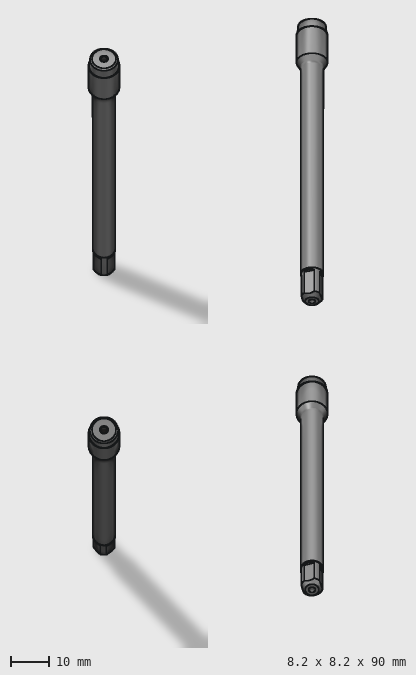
import cadquery as cq

total_length = 90.0

tang_diameter = 5.8
tang_across_flats = 5.0
tang_length = 8.9
flat_top = 8.1
tang_tip_diameter = 3.6
tip_taper_height = 1.3

shank_diameter = 6.0

head_diameter = 8.2
head_length = 13.9
collar_bottom_offset = 12.0
cap_length = 3.1
cap_base_diameter = 7.8
cap_rim_diameter = 7.4
cap_face_diameter = 6.3
cap_chamfer_height = 0.4
neck_fillet = 1.2

bore_diameter = 1.7
countersink_diameter = 2.2

tang_radius = tang_diameter / 2
tip_radius = tang_tip_diameter / 2
flat_distance = tang_across_flats / 2
flat_depth = tang_radius - flat_distance
head_bottom = total_length - head_length
collar_bottom = total_length - collar_bottom_offset
cap_bottom = total_length - cap_length


def turned_body():
    """Revolve the half outline of the tang, shank and head about Z."""
    outline = [
        (0, 0),
        (tip_radius, 0),
        (tang_radius, tip_taper_height),
        (tang_radius, tang_length),
        (shank_diameter / 2, tang_length),
        (shank_diameter / 2, head_bottom),
        (head_diameter / 2, collar_bottom),
        (head_diameter / 2, cap_bottom),
        (cap_base_diameter / 2, cap_bottom),
        (cap_rim_diameter / 2, total_length - cap_chamfer_height),
        (cap_face_diameter / 2, total_length),
        (0, total_length),
    ]
    profile = cq.Workplane("XZ").polyline(outline).close()
    body = profile.revolve(360, (0, 0, 0), (0, 1, 0))
    neck_edge = cq.selectors.BoxSelector(
        (-head_diameter, -head_diameter, head_bottom - neck_fillet / 2),
        (head_diameter, head_diameter, head_bottom + neck_fillet / 2),
    )
    return body.edges("%CIRCLE").edges(neck_edge).fillet(neck_fillet)


def flat_cutter():
    """Cutter for the +X flat, running out at 45 degrees at its upper end."""
    outline = [
        (flat_distance, 0),
        (tang_radius, 0),
        (tang_radius, flat_top + flat_depth),
        (flat_distance, flat_top),
    ]
    return cq.Workplane("XZ").polyline(outline).close().extrude(tang_radius, both=True)


def bore_cutter():
    """Through bore with a small 45 degree countersink at the head face."""
    bore_radius = bore_diameter / 2
    countersink_radius = countersink_diameter / 2
    countersink_depth = countersink_radius - bore_radius
    outline = [
        (0, 0),
        (bore_radius, 0),
        (bore_radius, total_length - countersink_depth),
        (countersink_radius, total_length),
        (0, total_length),
    ]
    profile = cq.Workplane("XZ").polyline(outline).close()
    return profile.revolve(360, (0, 0, 0), (0, 1, 0))


result = turned_body()
for side in range(4):
    result = result.cut(flat_cutter().rotate((0, 0, 0), (0, 0, 1), 90 * side))
result = result.cut(bore_cutter())